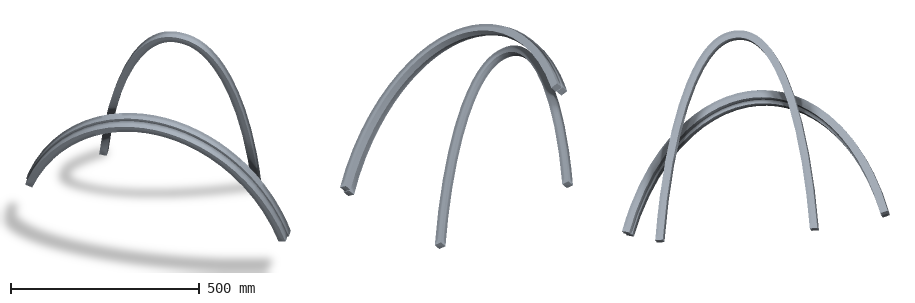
import cadquery as cq
import math

BAR_SIZE = 20.0

TOTAL_DEPTH = 256.0

ELLIPSE_EXPONENT = 2
POINTS_PER_SIDE = 12

LOW_HALF_WIDTH = 381.0
LOW_HALF_HEIGHT = 583.0
FRONT_APEX_Z = 455.0
FRONT_END_X = 348.5
MIDDLE_APEX_Z = FRONT_APEX_Z + BAR_SIZE / 2
MIDDLE_END_STEP = 3.2
MIDDLE_END_X = FRONT_END_X + MIDDLE_END_STEP

TALL_APEX_Z = 560.5
TALL_HALF_WIDTH = 219.0
TALL_HALF_HEIGHT = 789.0
TALL_EXPONENT = 2.16
TALL_UNTRIMMED_END_X = 213.0
TRIM_BLOCK_SIZE = 4 * TALL_HALF_WIDTH


def centreline_point_and_normal(x, apex_z, half_width, half_height, exponent):
    """Return the height and the outward unit normal of the centreline at x."""
    power = (abs(x) / half_width) ** exponent
    drop = half_height * (1 - math.sqrt(1 - power))
    slope = 0.0
    if x != 0:
        slope = -half_height * exponent * power / (2 * x * math.sqrt(1 - power))
    length = math.hypot(slope, 1)
    return apex_z - drop, (-slope / length, 1 / length)


def arch(front_y, apex_z, half_width, half_height, end_x, exponent=ELLIPSE_EXPONENT):
    """Build a bar of constant thickness along a centreline, with ends square to it."""
    end_angle = math.asin(end_x / half_width)
    outer = []
    inner = []
    for step in range(-POINTS_PER_SIDE, POINTS_PER_SIDE + 1):
        x = half_width * math.sin(end_angle * step / POINTS_PER_SIDE)
        z, (normal_x, normal_z) = centreline_point_and_normal(
            x, apex_z, half_width, half_height, exponent
        )
        offset_x = normal_x * BAR_SIZE / 2
        offset_z = normal_z * BAR_SIZE / 2
        outer.append((x + offset_x, z + offset_z))
        inner.append((x - offset_x, z - offset_z))
    inner.reverse()
    return (
        cq.Workplane("XZ", origin=(0, front_y, 0))
        .moveTo(*outer[0])
        .spline(outer[1:], includeCurrent=True)
        .lineTo(*inner[0])
        .spline(inner[1:], includeCurrent=True)
        .close()
        .extrude(-BAR_SIZE)
    )


def tall_arch():
    """Build the rear arch, with its feet trimmed flat on the ground at z = 0."""
    untrimmed = arch(
        TOTAL_DEPTH - BAR_SIZE,
        TALL_APEX_Z,
        TALL_HALF_WIDTH,
        TALL_HALF_HEIGHT,
        TALL_UNTRIMMED_END_X,
        TALL_EXPONENT,
    )
    below_ground = (
        cq.Workplane("XY")
        .rect(TRIM_BLOCK_SIZE, TRIM_BLOCK_SIZE)
        .extrude(-TRIM_BLOCK_SIZE)
    )
    return untrimmed.cut(below_ground).solids()


front_arch = arch(0, FRONT_APEX_Z, LOW_HALF_WIDTH, LOW_HALF_HEIGHT, FRONT_END_X)
middle_arch = arch(BAR_SIZE, MIDDLE_APEX_Z, LOW_HALF_WIDTH, LOW_HALF_HEIGHT, MIDDLE_END_X)
rear_arch = tall_arch()

result = cq.Compound.makeCompound([front_arch.val(), middle_arch.val(), rear_arch.val()])